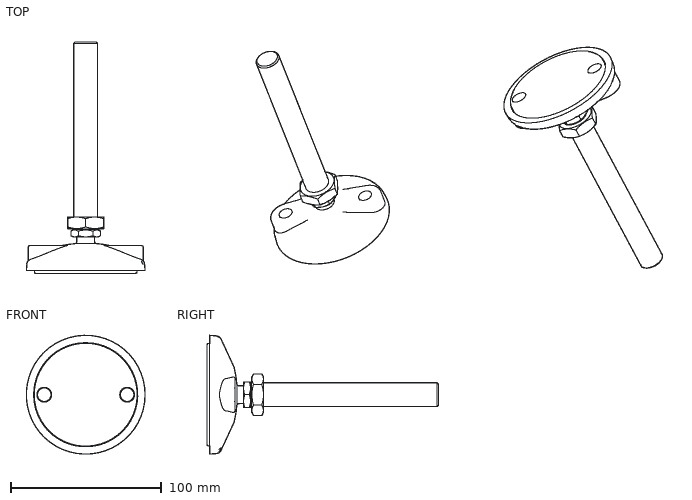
import cadquery as cq
import math


TOTAL_LENGTH = 153.7

FOOT_RADIUS = 79.0 / 2
FOOT_BOTTOM_Y = 1.8
RIM_TOP_RADIUS = 39.2
RIM_TOP_Y = 6.0
CONE_BOTTOM_RADIUS = 37.0
CONE_BOTTOM_Y = 9.4
CONE_TOP_RADIUS = 18.1
CONE_TOP_Y = 18.1
CROWN_Y = 20.0

HOLE_OFFSET = 27.5
FOOT_HOLE_RADIUS = 4.5
BOSS_RADIUS = 10.8
BOSS_TOP_Y = 18.6
BOSS_EDGE_FILLET = 1.4
BOSS_ROOT_HALF_WIDTH = 13.0

PAD_RADIUS = 34.1
PAD_CLEARANCE = 0.5
PAD_THICKNESS = 7.7
PAD_EDGE_FILLET = 1.0
PAD_HOLE_RADIUS = 4.9

THREAD_RADIUS = 8.0
THREAD_CHAMFER = 0.9
NECK_RADIUS = 6.0
FLARE_HEIGHT = 1.4
FLARE_RADIUS = 1.8
FLARE_EDGE = NECK_RADIUS + FLARE_RADIUS - math.sqrt(FLARE_RADIUS**2 - FLARE_HEIGHT**2)
COLLAR_ACROSS_FLATS = 17.0
COLLAR_BOTTOM_Y = 24.1
COLLAR_HEIGHT = 4.9

NUT_ACROSS_FLATS = 24.0
NUT_BOTTOM_Y = 29.7
NUT_HEIGHT = 8.0

HEX_FACE_INSET = 0.3
HEX_CHAMFER_ANGLE = math.radians(30)


def revolve_about_y(profile):
    """Revolve a closed XY profile about the Y axis."""
    return profile.close().revolve(360, (0, 0, 0), (0, 1, 0))


def cylinder(radius, bottom_y, top_y, x=0):
    """Cylinder parallel to Y."""
    base = cq.Workplane("ZX", origin=(x, bottom_y, 0))
    return base.circle(radius).extrude(top_y - bottom_y)


def chamfered_hexagon(across_flats, bottom_y, height):
    """Hexagonal prism along Y, corners on Z, with both ends turned conically."""
    corner_radius = across_flats / 2 / math.cos(math.pi / 6)
    face_radius = across_flats / 2 - HEX_FACE_INSET
    drop = (corner_radius - face_radius) * math.tan(HEX_CHAMFER_ANGLE)
    top_y = bottom_y + height
    prism = (
        cq.Workplane("ZX", origin=(0, bottom_y, 0))
        .polygon(6, 2 * corner_radius)
        .extrude(height)
    )
    envelope = revolve_about_y(
        cq.Workplane("XY")
        .moveTo(0, bottom_y)
        .lineTo(face_radius, bottom_y)
        .lineTo(corner_radius, bottom_y + drop)
        .lineTo(corner_radius, top_y - drop)
        .lineTo(face_radius, top_y)
        .lineTo(0, top_y)
    )
    return prism.intersect(envelope)


def make_boss():
    """Fixing boss on the +X side: a half-round end whose sides spread towards the axis."""
    return (
        cq.Workplane("ZX", origin=(0, RIM_TOP_Y, 0))
        .moveTo(-BOSS_ROOT_HALF_WIDTH, 0)
        .lineTo(-BOSS_RADIUS, HOLE_OFFSET)
        .threePointArc((0, HOLE_OFFSET + BOSS_RADIUS), (BOSS_RADIUS, HOLE_OFFSET))
        .lineTo(BOSS_ROOT_HALF_WIDTH, 0)
        .close()
        .extrude(BOSS_TOP_Y - RIM_TOP_Y)
        .faces(">Y")
        .edges()
        .fillet(BOSS_EDGE_FILLET)
    )


def make_foot():
    """Conical foot plate with a shallow domed crown, two bosses and a pad recess."""
    crown_drop = CROWN_Y - CONE_TOP_Y
    below_top = (CONE_TOP_RADIUS**2 - FLARE_EDGE**2 - crown_drop**2) / (2 * crown_drop)
    centre_y = CROWN_Y - crown_drop - below_top
    crown_radius = math.hypot(CONE_TOP_RADIUS, below_top)
    middle_radius = (CONE_TOP_RADIUS + FLARE_EDGE) / 2
    middle_y = centre_y + math.sqrt(crown_radius**2 - middle_radius**2)
    foot = revolve_about_y(
        cq.Workplane("XY")
        .moveTo(0, FOOT_BOTTOM_Y)
        .lineTo(FOOT_RADIUS, FOOT_BOTTOM_Y)
        .lineTo(RIM_TOP_RADIUS, RIM_TOP_Y)
        .tangentArcPoint((CONE_BOTTOM_RADIUS, CONE_BOTTOM_Y), relative=False)
        .lineTo(CONE_TOP_RADIUS, CONE_TOP_Y)
        .threePointArc((middle_radius, middle_y), (FLARE_EDGE, CROWN_Y))
        .lineTo(0, CROWN_Y)
    )
    boss = make_boss()
    foot = foot.union(boss).union(boss.mirror("YZ"))
    foot = foot.cut(cylinder(PAD_RADIUS + PAD_CLEARANCE, 0, PAD_THICKNESS))
    for x in (-HOLE_OFFSET, HOLE_OFFSET):
        foot = foot.cut(cylinder(FOOT_HOLE_RADIUS, 0, BOSS_TOP_Y, x))
    return foot


def make_pad():
    """Floor pad set in the recess of the foot, with a rounded lower edge."""
    pad = cylinder(PAD_RADIUS, 0, PAD_THICKNESS)
    pad = pad.faces("<Y").edges().fillet(PAD_EDGE_FILLET)
    for x in (-HOLE_OFFSET, HOLE_OFFSET):
        pad = pad.cut(cylinder(PAD_HOLE_RADIUS, 0, PAD_THICKNESS, x))
    return pad


def make_spindle():
    """Threaded rod with a hexagonal collar and a flared neck standing on the crown."""
    collar_top_y = COLLAR_BOTTOM_Y + COLLAR_HEIGHT
    neck = revolve_about_y(
        cq.Workplane("XY")
        .moveTo(0, CROWN_Y)
        .lineTo(FLARE_EDGE, CROWN_Y)
        .radiusArc((NECK_RADIUS, CROWN_Y + FLARE_HEIGHT), FLARE_RADIUS)
        .lineTo(NECK_RADIUS, COLLAR_BOTTOM_Y)
        .lineTo(0, COLLAR_BOTTOM_Y)
    )
    collar = chamfered_hexagon(COLLAR_ACROSS_FLATS, COLLAR_BOTTOM_Y, COLLAR_HEIGHT)
    collar = collar.rotate((0, 0, 0), (0, 1, 0), 90)
    rod = cylinder(THREAD_RADIUS, collar_top_y, TOTAL_LENGTH)
    rod = rod.faces(">Y").chamfer(THREAD_CHAMFER)
    return neck.union(collar).union(rod)


def make_nut():
    """Hexagonal jam nut on the rod, just above the collar."""
    nut = chamfered_hexagon(NUT_ACROSS_FLATS, NUT_BOTTOM_Y, NUT_HEIGHT)
    return nut.cut(cylinder(THREAD_RADIUS, NUT_BOTTOM_Y, NUT_BOTTOM_Y + NUT_HEIGHT))


foot = make_foot()
pad = make_pad()
spindle = make_spindle()
nut = make_nut()

result = cq.Compound.makeCompound([foot.val(), pad.val(), spindle.val(), nut.val()])